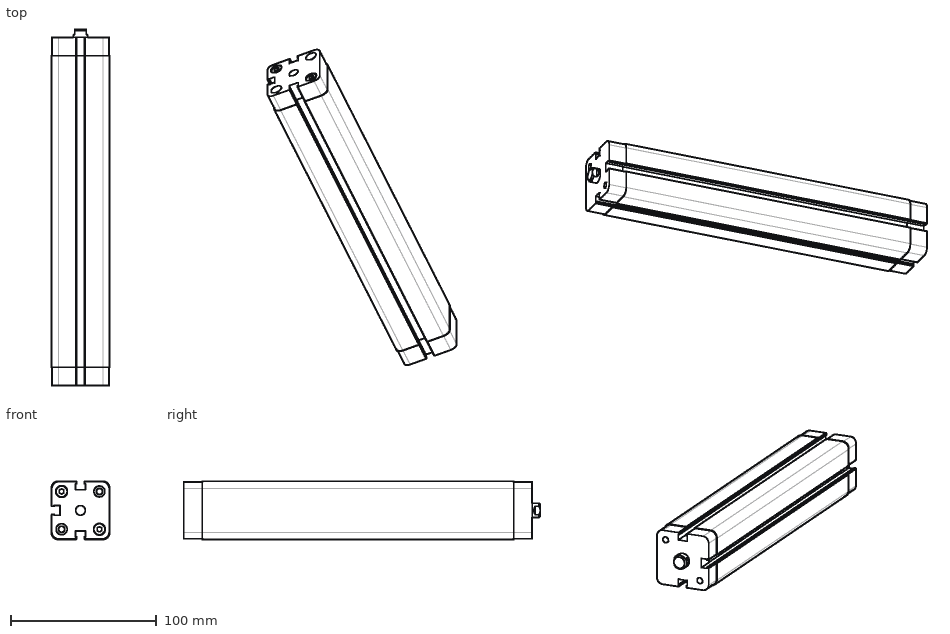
import cadquery as cq
import math

total_length = 245.0
rod_length = 5.6
housing_length = total_length - rod_length
body_side = 40.2
cap_side = 39.2
cap_length = 12.7
rear_cap_start = housing_length - cap_length

corner_centre = 15.2

slot_mouth_width = 5.5
slot_inner_width = 6.5
cap_slot_floor = 14.2
body_slot_floor = 14.0
slot_lip_underside = 18.1
slot_chamfer = 0.5
slot_angles = (0, 180, -90)

bore_offset = 13.0
counterbore_diameter = 7.5
counterbore_depth = 5.0
through_diameter = 4.2
screw_pocket_diameter = 8.0
screw_head_diameter = 7.5
screw_head_recess = 0.5
socket_across_flats = 3.2
socket_depth = 2.5

centring_diameter = 6.5
centring_depth = 5.0

rod_diameter = 10.0
flat_width = 8.0
flat_length = 3.5
flat_depth = (rod_diameter - flat_width) / 2
rod_chamfer = flat_depth


def cylinder(x, z, diameter, start, length):
    """Cylinder running towards +Y from the given start."""
    return cq.Workplane("XZ", origin=(x, start, z)).circle(diameter / 2).extrude(-length)


def rounded_bar(side, start, length):
    """Square bar along Y with rounded corners."""
    radius = side / 2 - corner_centre
    bar = cq.Workplane("XZ", origin=(0, start, 0)).rect(side, side).extrude(-length)
    return bar.edges("|Y").fillet(radius)


def slot_cutter(side, start, length, floor, angle):
    """Cutter for one slot in a bar of the given side; angle 0 is the top, turning about Y."""
    face_height = side / 2
    mouth = slot_mouth_width / 2
    inner = slot_inner_width / 2
    right_half = [
        (inner, floor),
        (inner, slot_lip_underside),
        (mouth, slot_lip_underside),
        (mouth, face_height - slot_chamfer),
        (mouth + slot_chamfer, face_height),
    ]
    left_half = [(-x, z) for x, z in reversed(right_half)]
    profile = cq.Workplane("XZ", origin=(0, start, 0)).polyline(right_half + left_half).close()
    return profile.extrude(-length).rotate((0, 0, 0), (0, 1, 0), angle)


def slotted_bar(side, start, length, floor):
    bar = rounded_bar(side, start, length)
    for angle in slot_angles:
        bar = bar.cut(slot_cutter(side, start, length, floor, angle))
    return bar


def open_bore(x, z):
    """Through bore with a counterbore in the front face."""
    bore = cylinder(x, z, through_diameter, 0, housing_length)
    return bore.union(cylinder(x, z, counterbore_diameter, 0, counterbore_depth))


def screw_recess(x, z):
    """Space around and above a sunk screw head, with its hexagon socket."""
    pocket = cylinder(x, z, screw_pocket_diameter, 0, counterbore_depth)
    head = cylinder(x, z, screw_head_diameter, screw_head_recess, counterbore_depth)
    across_corners = socket_across_flats / math.cos(math.pi / 6)
    socket = cq.Workplane("XZ", origin=(x, 0, z)).polygon(6, across_corners)
    socket = socket.extrude(-screw_head_recess - socket_depth).rotate((x, 0, z), (x, 1, z), 90)
    return pocket.cut(head).union(socket)


def piston_rod():
    """Rod rooted in the rear cap, with a chamfered tip and flats facing -X and +X."""
    rod = cylinder(0, 0, rod_diameter, rear_cap_start, total_length - rear_cap_start)
    rod = rod.faces(">Y").chamfer(rod_chamfer)
    flat_end = total_length - flat_length
    for side in (-1, 1):
        flat = (
            cq.Workplane("XY")
            .moveTo(side * flat_width / 2, total_length)
            .lineTo(side * flat_width / 2, flat_end)
            .lineTo(side * rod_diameter / 2, flat_end - flat_depth)
            .lineTo(side * rod_diameter / 2, total_length)
            .close()
            .extrude(rod_diameter, both=True)
        )
        rod = rod.cut(flat)
    return rod


housing = slotted_bar(body_side, cap_length, rear_cap_start - cap_length, body_slot_floor)
for cap_start in (0, rear_cap_start):
    housing = housing.union(slotted_bar(cap_side, cap_start, cap_length, cap_slot_floor))

for x in (-bore_offset, bore_offset):
    housing = housing.cut(open_bore(x, x))
    housing = housing.cut(screw_recess(x, -x))

housing = housing.cut(cylinder(0, 0, centring_diameter, 0, centring_depth))

result = housing.union(piston_rod())